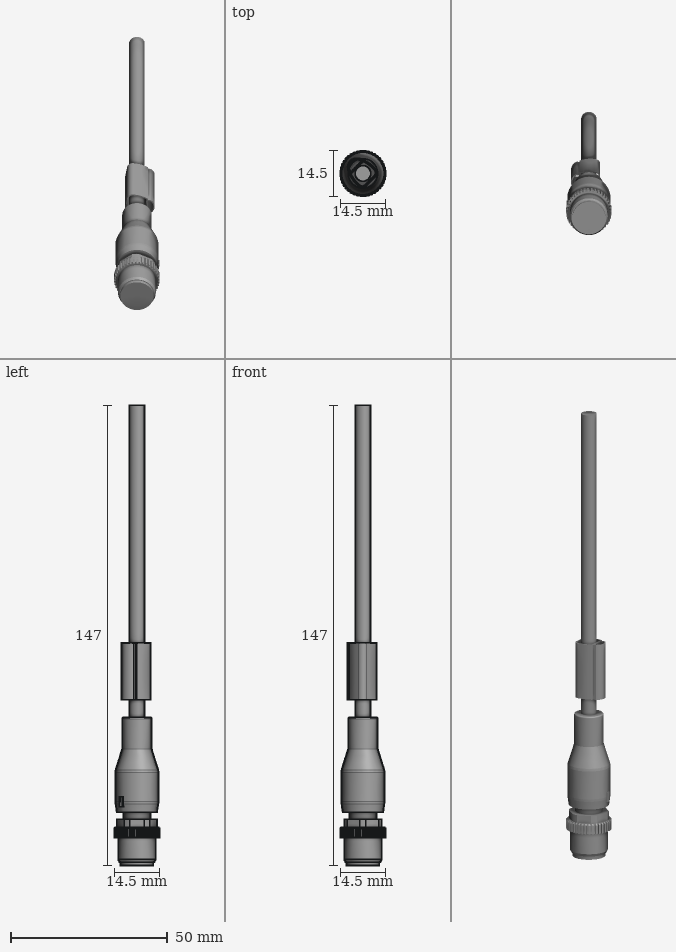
import cadquery as cq
import math

TOTAL_LENGTH = 147.0

CABLE_RADIUS = 2.5
CABLE_END_Z = 37.3

GRIP_BOTTOM_Z = 17.0
SKIRT_TOP_Z = 20.1
SHOULDER_Z = 30.3
SLEEVE_BOTTOM_Z = 37.3
GRIP_TOP_Z = 47.3
SKIRT_RADIUS = 6.5
BARREL_RADIUS = 6.9
SLEEVE_RADIUS = 4.7
SLEEVE_EDGE_FILLET = 0.5
SHOULDER_FILLET = 3.0
SKIRT_FILLET = 5.9

MARK_ANGLE = 135.0
MARK_BOTTOM_Z = 18.8
MARK_LENGTH = 3.2
MARK_WIDTH = 1.3
MARK_HEIGHT = 0.3

STEM_RADIUS = 4.4
STEM_TOP_Z = SKIRT_TOP_Z
TIP_RADIUS = 5.3
TIP_HEIGHT = 1.2

NUT_TOP_Z = 14.8
KNURL_TOP_Z = 12.3
KNURL_BOTTOM_Z = 9.0
SHANK_RADIUS = 6.0
SHANK_CHAMFER_HEIGHT = 0.9
SHANK_CHAMFER_WIDTH = 0.5
HEX_ACROSS_FLATS = 12.0
HEX_CORNER_RADIUS = 6.5
KNURL_DIAMETER = 14.5
KNURL_RADIUS = KNURL_DIAMETER / 2
KNURL_CHAMFER = 0.5
TOOTH_COUNT = 40
TOOTH_DEPTH = 0.6

CLIP_ANGLE = -45.0
CLIP_BOTTOM_Z = 52.9
CLIP_LENGTH = 18.2
CLIP_WALL = 0.5
CELL_FRONT = 3.5
CELL_BACK = -3.1
CELL_HALF_WIDTH = 3.8
CELL_BACK_HALF_WIDTH = 3.1
CELL_SIDE_BULGE = 0.3
CELL_CORNER_RADIUS = 1.8
POCKET_HALF_WIDTH = 2.6
POCKET_ARC_START = -4.1
POCKET_END = -5.7


def cylinder(radius, bottom, top):
    return cq.Workplane("XY").workplane(offset=bottom).circle(radius).extrude(top - bottom)


def edge_at_height(z):
    reach = TOTAL_LENGTH
    slack = 0.07
    return cq.selectors.BoxSelector((-reach, -reach, z - slack), (reach, reach, z + slack))


def make_cable():
    return cylinder(CABLE_RADIUS, CABLE_END_Z, TOTAL_LENGTH)


def make_grip():
    grip = (
        cq.Workplane("XZ")
        .moveTo(0, GRIP_BOTTOM_Z)
        .lineTo(SKIRT_RADIUS, GRIP_BOTTOM_Z)
        .lineTo(BARREL_RADIUS, SKIRT_TOP_Z)
        .lineTo(BARREL_RADIUS, SHOULDER_Z)
        .lineTo(SLEEVE_RADIUS, SLEEVE_BOTTOM_Z)
        .lineTo(SLEEVE_RADIUS, GRIP_TOP_Z)
        .lineTo(0, GRIP_TOP_Z)
        .close()
        .revolve(360, (0, 0), (0, 1))
    )
    grip = grip.faces(">Z").edges().fillet(SLEEVE_EDGE_FILLET)
    grip = grip.edges(edge_at_height(SHOULDER_Z)).fillet(SHOULDER_FILLET)
    grip = grip.edges(edge_at_height(SKIRT_TOP_Z)).fillet(SKIRT_FILLET)
    mark_reach = BARREL_RADIUS + MARK_HEIGHT - STEM_RADIUS
    mark = (
        cq.Workplane("XY")
        .box(mark_reach, MARK_WIDTH, MARK_LENGTH, centered=(False, True, False))
        .translate((STEM_RADIUS, 0, MARK_BOTTOM_Z))
        .rotate((0, 0, 0), (0, 0, 1), MARK_ANGLE)
    )
    cable_socket = cylinder(CABLE_RADIUS, CABLE_END_Z, GRIP_TOP_Z)
    stem_socket = cylinder(STEM_RADIUS, GRIP_BOTTOM_Z, STEM_TOP_Z)
    return grip.union(mark).cut(cable_socket).cut(stem_socket)


def make_carrier():
    stem = cylinder(STEM_RADIUS, 0, STEM_TOP_Z)
    tip = cylinder(TIP_RADIUS, 0, TIP_HEIGHT)
    return stem.union(tip)


def make_knurled_ring():
    ring = cylinder(KNURL_RADIUS, KNURL_BOTTOM_Z, KNURL_TOP_Z).faces(">Z").chamfer(KNURL_CHAMFER)
    groove_width = math.pi * KNURL_RADIUS / TOOTH_COUNT
    grooves = (
        cq.Workplane("XY")
        .workplane(offset=KNURL_BOTTOM_Z)
        .polarArray(KNURL_RADIUS, 0, 360, TOOTH_COUNT)
        .rect(2 * TOOTH_DEPTH, groove_width)
        .extrude(KNURL_TOP_Z - KNURL_BOTTOM_Z)
    )
    return ring.cut(grooves)


def make_nut():
    shank = (
        cylinder(SHANK_RADIUS, TIP_HEIGHT, KNURL_TOP_Z)
        .faces("<Z")
        .chamfer(SHANK_CHAMFER_HEIGHT, SHANK_CHAMFER_WIDTH)
    )
    hexagon = (
        cq.Workplane("XY")
        .workplane(offset=KNURL_BOTTOM_Z)
        .polygon(6, HEX_ACROSS_FLATS, circumscribed=True)
        .extrude(NUT_TOP_Z - KNURL_BOTTOM_Z)
        .intersect(cylinder(HEX_CORNER_RADIUS, KNURL_BOTTOM_Z, NUT_TOP_Z))
    )
    bore = cylinder(STEM_RADIUS, TIP_HEIGHT, NUT_TOP_Z)
    return shank.union(hexagon).union(make_knurled_ring()).cut(bore)


def extrude_outline(outline):
    return cq.Workplane("XY").add(outline).toPending().extrude(CLIP_LENGTH)


def inset(outline):
    return outline.offset2D(-CLIP_WALL)[0]


def make_clip():
    corner_start = CELL_FRONT - CELL_CORNER_RADIUS
    corner_side = CELL_HALF_WIDTH - CELL_CORNER_RADIUS
    side_middle_x = (corner_start + CELL_BACK) / 2
    side_middle_y = (CELL_HALF_WIDTH + CELL_BACK_HALF_WIDTH) / 2 + CELL_SIDE_BULGE
    cell = (
        cq.Workplane("XY")
        .moveTo(CELL_FRONT, -corner_side)
        .lineTo(CELL_FRONT, corner_side)
        .radiusArc((corner_start, CELL_HALF_WIDTH), -CELL_CORNER_RADIUS)
        .threePointArc((side_middle_x, side_middle_y), (CELL_BACK, CELL_BACK_HALF_WIDTH))
        .lineTo(CELL_BACK, -CELL_BACK_HALF_WIDTH)
        .threePointArc((side_middle_x, -side_middle_y), (corner_start, -CELL_HALF_WIDTH))
        .radiusArc((CELL_FRONT, -corner_side), -CELL_CORNER_RADIUS)
        .close()
        .val()
    )
    pocket = (
        cq.Workplane("XY")
        .moveTo(CELL_BACK + CLIP_WALL, -POCKET_HALF_WIDTH)
        .lineTo(CELL_BACK + CLIP_WALL, POCKET_HALF_WIDTH)
        .lineTo(POCKET_ARC_START, POCKET_HALF_WIDTH)
        .threePointArc((POCKET_END, 0), (POCKET_ARC_START, -POCKET_HALF_WIDTH))
        .close()
        .val()
    )
    clip = extrude_outline(cell).union(extrude_outline(pocket))
    for outline in (cell, pocket):
        clip = clip.cut(extrude_outline(inset(outline)))
    return clip.rotate((0, 0, 0), (0, 0, 1), CLIP_ANGLE).translate((0, 0, CLIP_BOTTOM_Z))


cable = make_cable()
grip = make_grip()
carrier = make_carrier()
nut = make_nut()
clip = make_clip()

result = cq.Compound.makeCompound([cable.val(), grip.val(), carrier.val(), nut.val(), clip.val()])